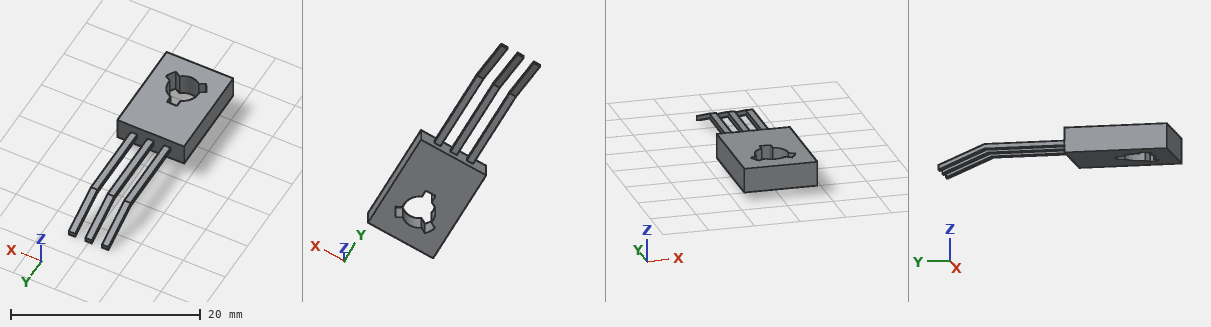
import cadquery as cq

total_length = 24.9
total_height = 3.6

body_width = 8.0
body_length = 11.0
body_height = 2.7

hole_y = 3.75
hole_radius = 1.77
keyway_radius = 2.5
keyway_width = 1.2
keyway_spacing = 120
keyway_corner_radius = 0.1

lead_pitch = 2.0
lead_width = 0.77
lead_thickness = 0.5
lead_top = 1.65
lead_bend_y = 19.92
tip_bottom = body_height - total_height


def make_body():
    return cq.Workplane("XY").box(
        body_width, body_length, body_height, centered=(True, False, False)
    )


def make_hole():
    """Round hole with a flat-ended rear keyway and two arc-ended side keyways."""
    hole = cq.Workplane("XY").circle(hole_radius).extrude(body_height)
    envelope = cq.Workplane("XY").circle(keyway_radius).extrude(body_height)
    keyway = cq.Workplane("XY").box(
        keyway_width, keyway_radius, body_height, centered=(True, False, False)
    )
    hole = hole.union(keyway.edges("|Z and >Y").fillet(keyway_corner_radius))
    for turn in (-keyway_spacing, keyway_spacing):
        side_keyway = keyway.intersect(envelope).rotate((0, 0, 0), (0, 0, 1), turn)
        hole = hole.union(side_keyway)
    return hole.translate((0, hole_y, 0))


def make_lead(x):
    """Flat lead bent downward, with its tip cut vertically."""
    lead_bottom = lead_top - lead_thickness
    profile = [
        (body_length, lead_bottom),
        (lead_bend_y, lead_bottom),
        (total_length, tip_bottom),
        (total_length, tip_bottom + lead_thickness),
        (lead_bend_y, lead_top),
        (body_length, lead_top),
    ]
    lead = cq.Workplane("YZ").polyline(profile).close().extrude(lead_width / 2, both=True)
    return lead.translate((x, 0, 0))


result = make_body().cut(make_hole())
for lead_x in (-lead_pitch, 0, lead_pitch):
    result = result.union(make_lead(lead_x))